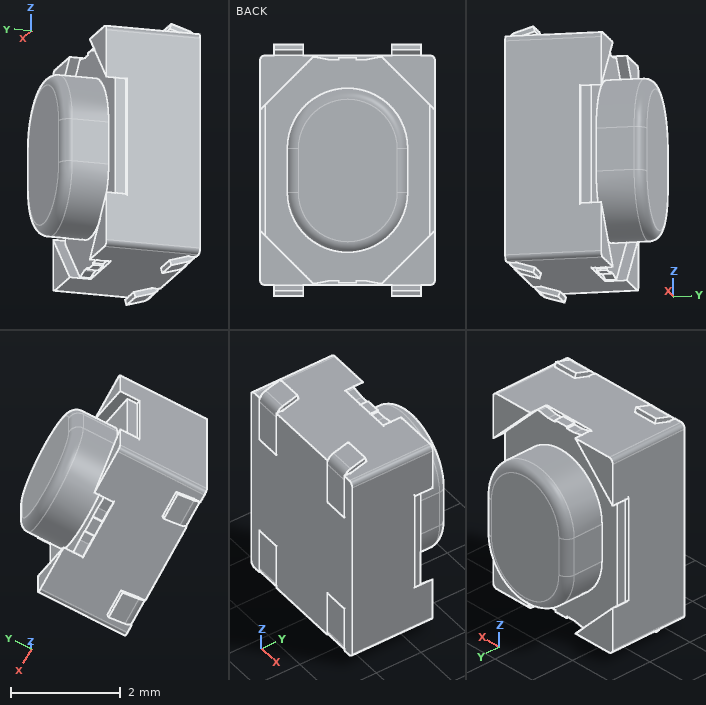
import cadquery as cq
import math


HOUSING_WIDTH = 3.2
HOUSING_LENGTH = 4.2
HOUSING_HEIGHT = 1.8
CORNER_RADIUS = 0.1
POCKET_FLOOR = 1.4
END_WINDOW_WIDTH = 1.195

PLATE_THICKNESS = 0.2
PLATE_SIDE_INSET = 0.095
PLATE_END_INSET = 0.03
END_RECESS_DEPTH = 0.045
END_RECESS_MOUTH_WIDTH = 1.178
END_RECESS_FLOOR_WIDTH = 0.7
END_TAB_WIDTH = 0.315
END_TAB_HEIGHT = 0.035

BUTTON_WIDTH = 2.2
BUTTON_LENGTH = 3.0
BUTTON_TOP = 2.5
BUTTON_EDGE_RADIUS = 0.2

LEAD_THICKNESS = 0.1
LEAD_WIDTH = 0.54
LEAD_SPACING = 2.15
LEAD_INNER_END = 1.095
LEAD_TIP = 2.3
LEAD_OUTER_RADIUS = 2 * LEAD_THICKNESS
LEAD_BEND_START = 2.005
LEAD_TIP_ANGLE = 17

PLATE_TOP = POCKET_FLOOR + PLATE_THICKNESS
POST_LEG = (HOUSING_WIDTH - END_WINDOW_WIDTH) / 2
LEAD_SIDES = [(side, end) for side in (-1, 1) for end in (-1, 1)]


def block(width, length, bottom, top):
    """Box centred on the Y axis, between two heights along Y."""
    height = top - bottom
    return cq.Workplane("XY").box(width, height, length).translate((0, bottom + height / 2, 0))


def lead_profile():
    """Side outline of one lead in the YZ plane: flat foot, bend and raised straight tip."""
    tilt = math.radians(LEAD_TIP_ANGLE)
    bend = math.pi / 2 - tilt
    inner_radius = LEAD_OUTER_RADIUS - LEAD_THICKNESS

    def on_bend(radius, angle):
        return (
            LEAD_OUTER_RADIUS - radius * math.cos(angle),
            LEAD_BEND_START + radius * math.sin(angle),
        )

    outer_bend_end = on_bend(LEAD_OUTER_RADIUS, bend)
    inner_bend_end = on_bend(inner_radius, bend)
    rise = LEAD_TIP - outer_bend_end[1]
    run = rise / math.tan(tilt)
    return (
        cq.Workplane("YZ")
        .moveTo(0, LEAD_INNER_END)
        .lineTo(0, LEAD_BEND_START)
        .threePointArc(on_bend(LEAD_OUTER_RADIUS, bend / 2), outer_bend_end)
        .lineTo(outer_bend_end[0] + run, LEAD_TIP)
        .lineTo(inner_bend_end[0] + run, inner_bend_end[1] + rise)
        .lineTo(*inner_bend_end)
        .threePointArc(on_bend(inner_radius, bend / 2), (LEAD_THICKNESS, LEAD_BEND_START))
        .lineTo(LEAD_THICKNESS, LEAD_INNER_END)
        .close()
    )


def make_lead(side, end):
    """Lead on the given side (sign of X) and end (sign of Z)."""
    lead = lead_profile().extrude(LEAD_WIDTH / 2, both=True)
    if end < 0:
        lead = lead.mirror("XY")
    return lead.translate((side * LEAD_SPACING / 2, 0, 0))


def make_lead_slot(side, end):
    """Straight slot that holds the foot of a lead and opens at the end of the housing."""
    length = HOUSING_LENGTH / 2 - LEAD_INNER_END
    centre = LEAD_INNER_END + length / 2
    slot = block(LEAD_WIDTH, length, 0, LEAD_THICKNESS)
    return slot.translate((side * LEAD_SPACING / 2, 0, end * centre))


def make_housing(leads):
    """Rounded box with an octagonal pocket that leaves four triangular corner posts."""
    housing = block(HOUSING_WIDTH, HOUSING_LENGTH, 0, HOUSING_HEIGHT).edges("|Y").fillet(CORNER_RADIUS)
    pocket = block(HOUSING_WIDTH, HOUSING_LENGTH, POCKET_FLOOR, HOUSING_HEIGHT)
    housing = housing.cut(pocket.edges("|Y").chamfer(POST_LEG))
    for side, end in LEAD_SIDES:
        housing = housing.cut(make_lead_slot(side, end))
    for lead in leads:
        housing = housing.cut(lead)
    return housing


def make_plate():
    """Octagonal plate with a tapered recess and a central tab at each end, fitted between the posts."""
    end_z = HOUSING_LENGTH / 2 - PLATE_END_INSET
    recess_z = end_z - END_RECESS_DEPTH
    tab_z = recess_z + END_TAB_HEIGHT
    half_tab = END_TAB_WIDTH / 2
    end_x = END_WINDOW_WIDTH / 2 + PLATE_END_INSET
    side_x = HOUSING_WIDTH / 2 - PLATE_SIDE_INSET
    side_z = end_z - (side_x - end_x)
    quarter = [
        (half_tab, tab_z),
        (half_tab, recess_z),
        (END_RECESS_FLOOR_WIDTH / 2, recess_z),
        (END_RECESS_MOUTH_WIDTH / 2, end_z),
        (end_x, end_z),
        (side_x, side_z),
    ]
    right_half = quarter + [(x, -z) for x, z in reversed(quarter)]
    left_half = [(-x, -z) for x, z in right_half]
    return (
        cq.Workplane("XZ", origin=(0, PLATE_TOP, 0))
        .polyline(right_half + left_half)
        .close()
        .extrude(PLATE_THICKNESS)
    )


def make_button():
    """Button with two full round ends and a rounded top edge, standing on the plate."""
    return (
        cq.Workplane("XZ", origin=(0, PLATE_TOP, 0))
        .slot2D(BUTTON_LENGTH, BUTTON_WIDTH, 90)
        .extrude(PLATE_TOP - BUTTON_TOP)
        .faces(">Y")
        .edges()
        .fillet(BUTTON_EDGE_RADIUS)
    )


leads = [make_lead(side, end) for side, end in LEAD_SIDES]
housing = make_housing(leads)
plate = make_plate()
button = make_button()

result = cq.Compound.makeCompound(
    [housing.val(), plate.val(), button.val(), *[lead.val() for lead in leads]]
)